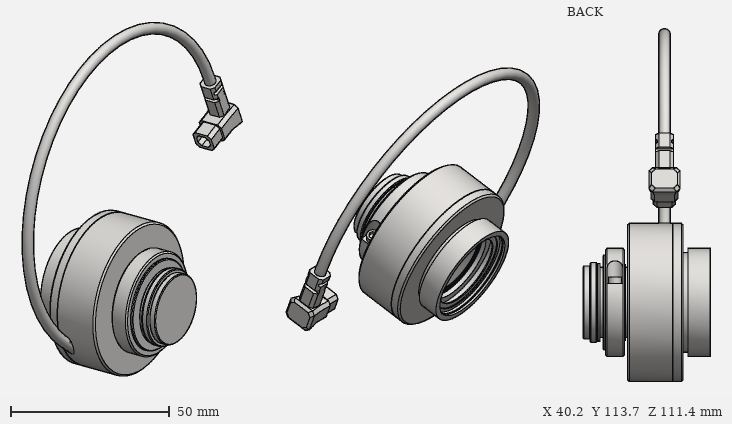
import cadquery as cq
import math

RIM_END = 7.1
BODY_START = 8.6
BODY_END = 26.2
SHOULDER_START = 26.75
COLLAR_START = 27.1
COLLAR_END = 33.1
FLANGE_END = 33.9
LIP_START = 34.8
LIP_END = 35.5
MOUNT_START = 35.8
MOUNT_END = 37.9
TAIL_START = 38.1
OVERALL_LENGTH = 40.18

RIM_RADIUS = 17.1
FRONT_NECK_RADIUS = 15.75
BODY_RADIUS = 25.0
WAIST_RADIUS = 11.1
SHOULDER_RADIUS = 12.0
COLLAR_RADIUS = 17.1
FLANGE_RADIUS = 15.0
LIP_RADIUS = 12.3
MOUNT_RADIUS = 12.65
TAIL_RADIUS = 11.55
BODY_CHAMFER = 0.6
COLLAR_CHAMFER = 0.5
SMALL_CHAMFER = 0.3

SEAM_X = 11.85
SEAM_SIZE = 0.1

FRONT_BORES = [
    (15.25, 2.1),
    (14.1, 2.5),
    (12.4, 2.9),
    (15.0, 5.5),
    (12.4, 7.1),
    (11.9, 7.2),
    (11.5, 7.3),
    (11.1, 7.4),
    (10.7, 7.5),
]
THREAD_GROOVE_X = 0.9
THREAD_GROOVE_SIZE = 0.3
LENS_RADIUS = 10.2
LENS_SAG = 1.7

SCREW_X = (COLLAR_START + COLLAR_END) / 2
SCREW_Y = 13.5
SCREW_SEAT_Z = 6.0
SCREW_SLOT_WIDTH = 5.0
SCREW_HEAD_DIAMETER = 4.0
SCREW_HEAD_HEIGHT = 2.0
SCREW_SOCKET_DIAMETER = 2.5
SCREW_SOCKET_DEPTH = 1.2

CABLE_X = 14.5
CABLE_RADIUS = 1.85
ARC_CENTER_Y = 7.25
ARC_CENTER_Z = 32.4
ARC_RADIUS = 52.15
ARC_START_ANGLE = -52.5
ARC_END_ANGLE = 156.2
CABLE_ENTRY_LENGTH = 8.0

STUB_LENGTH = 1.4
GRIP_END = 6.2
NECK_END = 7.4
STEM_END = 15.0
STEM_WIDTH = 5.8
STEM_CHAMFER = 1.1
NECK_WIDTH = 3.0
GRIP_GROOVE_HEIGHT = 3.85
GRIP_GROOVE_RADIUS = 0.65
HEAD_AXIS = 17.5
HEAD_BACK = -4.0
HEAD_BACK_CHAMFER_END = -3.1
HEAD_SHOULDER = 1.1
HEAD_STEP = 6.1
HEAD_TIP = 11.2
HEAD_CHAMFER = 1.2
BACK_SIZE = (9.9, 8.4)
BACK_FACE_SIZE = (8.2, 6.5)
SHOULDER_SIZE = (8.6, 7.2)
TIP_SIZE = (7.1, 6.5)
SOCKET_WALL = 1.1
SOCKET_DEPTH = 3.0


def disc(start, end, radius):
    return cq.Workplane("YZ", origin=(start, 0, 0)).circle(radius).extrude(end - start)


def ring_groove(x, width, outer_radius, inner_radius):
    return disc(x, x + width, outer_radius).cut(disc(x, x + width, inner_radius))


def make_barrel():
    barrel = disc(0, RIM_END, RIM_RADIUS)
    barrel = barrel.union(disc(RIM_END, BODY_START, FRONT_NECK_RADIUS))
    body = disc(BODY_START, BODY_END, BODY_RADIUS).edges().chamfer(BODY_CHAMFER)
    body = body.cut(ring_groove(SEAM_X, SEAM_SIZE, BODY_RADIUS, BODY_RADIUS - SEAM_SIZE))
    barrel = barrel.union(body)
    barrel = barrel.union(disc(BODY_END, SHOULDER_START, WAIST_RADIUS))
    barrel = barrel.union(disc(SHOULDER_START, COLLAR_START, SHOULDER_RADIUS))
    collar = disc(COLLAR_START, COLLAR_END, COLLAR_RADIUS).edges().chamfer(COLLAR_CHAMFER)
    barrel = barrel.union(collar)
    barrel = barrel.union(disc(COLLAR_END, FLANGE_END, FLANGE_RADIUS).edges(">X").chamfer(SMALL_CHAMFER))
    barrel = barrel.union(disc(FLANGE_END, LIP_START, WAIST_RADIUS))
    barrel = barrel.union(disc(LIP_START, LIP_END, LIP_RADIUS))
    barrel = barrel.union(disc(LIP_END, MOUNT_START, WAIST_RADIUS))
    barrel = barrel.union(disc(MOUNT_START, MOUNT_END, MOUNT_RADIUS).edges().chamfer(SMALL_CHAMFER))
    barrel = barrel.union(disc(MOUNT_END, TAIL_START, WAIST_RADIUS))
    tail = disc(TAIL_START, OVERALL_LENGTH, TAIL_RADIUS).edges(">X").chamfer(SMALL_CHAMFER)
    return barrel.union(tail)


def cut_front_opening(barrel):
    profile = cq.Workplane("XY")
    depth = 0
    for radius, floor in FRONT_BORES:
        profile = profile.lineTo(depth, radius).lineTo(floor, radius)
        depth = floor
    sphere_radius = (LENS_RADIUS ** 2 + LENS_SAG ** 2) / (2 * LENS_SAG)
    half_angle = math.asin(LENS_RADIUS / sphere_radius) / 2
    dish_center_x = depth + LENS_SAG - sphere_radius
    dish_middle = (dish_center_x + sphere_radius * math.cos(half_angle),
                   sphere_radius * math.sin(half_angle))
    profile = profile.lineTo(depth, LENS_RADIUS).threePointArc(dish_middle, (depth + LENS_SAG, 0)).close()
    opening = profile.revolve(360, (0, 0, 0), (1, 0, 0))
    thread_radius = FRONT_BORES[0][0]
    groove = ring_groove(THREAD_GROOVE_X, THREAD_GROOVE_SIZE,
                         thread_radius + THREAD_GROOVE_SIZE, thread_radius)
    return barrel.cut(opening).cut(groove)


def add_clamp_screw(barrel):
    seat = cq.Workplane("XY", origin=(SCREW_X, SCREW_Y, SCREW_SEAT_Z))
    slot = seat.circle(SCREW_SLOT_WIDTH / 2).extrude(COLLAR_RADIUS)
    mouth_length = 2 * SCREW_SLOT_WIDTH
    mouth = seat.center(0, mouth_length / 2).rect(SCREW_SLOT_WIDTH, mouth_length).extrude(COLLAR_RADIUS)
    head = seat.circle(SCREW_HEAD_DIAMETER / 2).extrude(SCREW_HEAD_HEIGHT)
    head = head.faces(">Z").workplane().circle(SCREW_SOCKET_DIAMETER / 2).cutBlind(-SCREW_SOCKET_DEPTH)
    return barrel.cut(slot.union(mouth)).union(head)


def arc_point(angle):
    a = math.radians(angle)
    return (ARC_CENTER_Y - ARC_RADIUS * math.cos(a), ARC_CENTER_Z + ARC_RADIUS * math.sin(a))


def make_cable():
    start_y, start_z = arc_point(ARC_START_ANGLE)
    a = math.radians(ARC_START_ANGLE)
    inward = (0, -math.sin(a), -math.cos(a))
    section = cq.Plane(origin=(CABLE_X, start_y, start_z), xDir=(1, 0, 0), normal=inward)
    axis = cq.Vector(CABLE_X, ARC_CENTER_Y, ARC_CENTER_Z)
    axis_tip = axis - cq.Vector(1, 0, 0)
    bend = cq.Workplane(section).circle(CABLE_RADIUS).revolve(
        ARC_END_ANGLE - ARC_START_ANGLE, section.toLocalCoords(axis).toTuple(),
        section.toLocalCoords(axis_tip).toTuple())
    entry = cq.Workplane(section).circle(CABLE_RADIUS).extrude(CABLE_ENTRY_LENGTH)
    return bend.union(entry)


def octagon(plane, width, height, corner):
    """Rectangle with its four corners cut, as a closed outline."""
    w = width / 2
    h = height / 2
    points = [(w - corner, h), (w, h - corner), (w, corner - h), (w - corner, -h),
              (corner - w, -h), (-w, corner - h), (-w, h - corner), (corner - w, h)]
    return plane.polyline(points).close()


def stem_block(start, end):
    """Octagonal length of the plug's cable side; local Z runs away from the cable."""
    plane = cq.Workplane("XY", origin=(0, 0, start))
    return octagon(plane, STEM_WIDTH, STEM_WIDTH, STEM_CHAMFER).extrude(end - start)


def head_plane(station):
    """Section plane of the plug head: local x is part X, local y runs along the cable."""
    return cq.Workplane(cq.Plane(origin=(0, station, HEAD_AXIS), xDir=(1, 0, 0), normal=(0, 1, 0)))


def head_loft(start, start_size, end, end_size):
    first = octagon(head_plane(start), *start_size, HEAD_CHAMFER).wires().val()
    last = octagon(head_plane(end), *end_size, HEAD_CHAMFER).wires().val()
    return cq.Workplane(cq.Solid.makeLoft([first, last], True))


def make_plug():
    plug = cq.Workplane("XY").circle(CABLE_RADIUS).extrude(STUB_LENGTH)
    plug = plug.union(stem_block(STUB_LENGTH, GRIP_END))
    groove = cq.Workplane("XZ").circle(GRIP_GROOVE_RADIUS).extrude(STEM_WIDTH / 2, both=True)
    for side in (-1, 1):
        plug = plug.cut(groove.translate((side * STEM_WIDTH / 2, 0, GRIP_GROOVE_HEIGHT)))
    neck = cq.Workplane("XY", origin=(0, 0, GRIP_END)).rect(STEM_WIDTH, NECK_WIDTH)
    plug = plug.union(neck.extrude(NECK_END - GRIP_END))
    plug = plug.union(stem_block(NECK_END, STEM_END))
    plug = plug.union(head_loft(HEAD_BACK, BACK_FACE_SIZE, HEAD_BACK_CHAMFER_END, BACK_SIZE))
    plug = plug.union(head_loft(HEAD_BACK_CHAMFER_END, BACK_SIZE, HEAD_SHOULDER, SHOULDER_SIZE))
    plug = plug.union(head_loft(HEAD_SHOULDER, SHOULDER_SIZE, HEAD_STEP, SHOULDER_SIZE))
    plug = plug.union(head_loft(HEAD_STEP, TIP_SIZE, HEAD_TIP, TIP_SIZE))
    socket_size = (TIP_SIZE[0] - 2 * SOCKET_WALL, TIP_SIZE[1] - 2 * SOCKET_WALL)
    return plug.cut(head_loft(HEAD_TIP - SOCKET_DEPTH, socket_size, HEAD_TIP, socket_size))


def place_plug(plug):
    end_y, end_z = arc_point(ARC_END_ANGLE)
    tilt = 180 - ARC_END_ANGLE
    plug = plug.rotate((0, 0, 0), (1, 0, 0), 180 + tilt)
    return plug.translate((CABLE_X, end_y, end_z))


barrel = add_clamp_screw(cut_front_opening(make_barrel()))
result = barrel.union(make_cable()).union(place_plug(make_plug()))